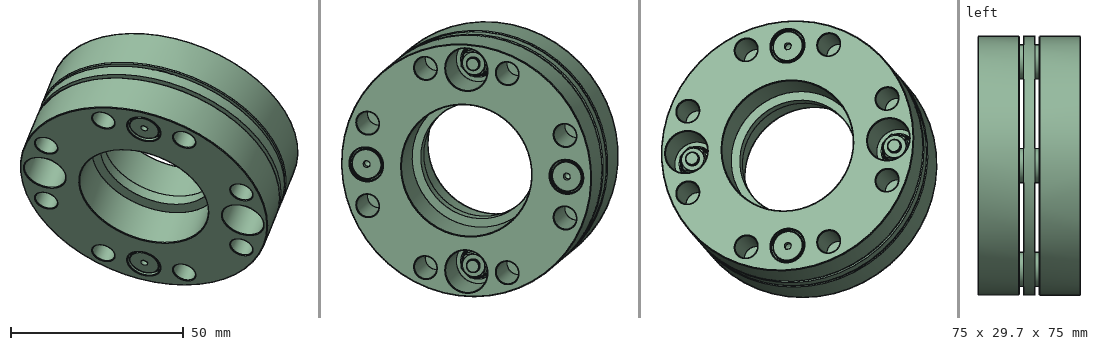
import cadquery as cq
import math


flange_diameter = 75.0
flange_thickness = 12.0
flange_bore = 39.0
disc_diameter = 74.9
disc_bore = 34.5
overall_width = 29.7
gap = 1.2
disc_thickness = overall_width - 2 * flange_thickness - 2 * gap
outer_edge_chamfer = 0.2
inner_edge_chamfer = 0.3

stud_radius = 30.0
clearance_hole = 12.5
spacer_diameter = 10.0

head_diameter = 9.0
head_recess = 0.4
head_chamfer = 0.2
head_seat_depth = 1.2
centre_hole_diameter = 2.0
centre_hole_depth = 1.5
drill_point_angle = 118.0

washer_diameter = 9.0
washer_thickness = 0.8
washer_chamfer = 0.2
nut_flats = 7.0
nut_face_diameter = 6.7
nut_bevel_angle = 30.0
nut_height = 3.2
nut_turn = 15.0
thread_diameter = 4.0
thread_overhang = 1.0
thread_chamfer = 0.2

hole_count = 8
hole_diameter = 6.7
hole_circle_radius = 32.0
hole_chamfer = 0.2

outer_face = -overall_width / 2
inner_face = outer_face + flange_thickness
disc_face = -disc_thickness / 2


def cylinder(diameter, y_start, y_end, x=0.0, z=0.0):
    """Cylinder along Y between two stations."""
    base = cq.Workplane("XZ", origin=(x, y_start, z)).circle(diameter / 2)
    return base.extrude(y_start - y_end)


def cone(diameter, tip_diameter, y_start, y_end, x=0.0, z=0.0):
    """Cone along Y, `diameter` wide at y_start and `tip_diameter` wide at y_end."""
    height = y_end - y_start
    solid = cq.Solid.makeCone(
        diameter / 2, tip_diameter / 2, height, cq.Vector(x, y_start, z), cq.Vector(0, 1, 0)
    )
    return cq.Workplane(obj=solid)


def pin(diameter, chamfer, y_start, y_end, x=0.0, z=0.0):
    """Cylinder between two stations with a chamfer at its front end."""
    return cylinder(diameter, y_start, y_end, x, z).faces("<Y").edges().chamfer(chamfer)


def hole_cutter(diameter, y_bottom, x=0.0, z=0.0):
    """Cutter from the outer face of the front flange, with a chamfered mouth."""
    mouth_diameter = diameter + 2 * hole_chamfer
    mouth = cone(mouth_diameter, diameter, outer_face, outer_face + hole_chamfer, x, z)
    return cylinder(diameter, outer_face, y_bottom, x, z).union(mouth)


def flange():
    """Front flange with its bore, its ring of plain holes and the two nut clearance holes."""
    body = pin(flange_diameter, outer_edge_chamfer, outer_face, inner_face)
    body = body.faces(">Y").edges().chamfer(inner_edge_chamfer)
    body = body.cut(hole_cutter(flange_bore, inner_face))
    for index in range(hole_count):
        angle = math.radians((index + 0.5) * 360 / hole_count)
        x = hole_circle_radius * math.cos(angle)
        z = hole_circle_radius * math.sin(angle)
        body = body.cut(hole_cutter(hole_diameter, inner_face, x, z))
    for x in (-stud_radius, stud_radius):
        body = body.cut(hole_cutter(clearance_hole, inner_face, x))
    return body


def centre_hole(z):
    """Drilled hole with a conical bottom in the middle of a stud head."""
    top = outer_face + head_recess
    bottom = top + centre_hole_depth
    point_length = centre_hole_diameter / 2 / math.tan(math.radians(drill_point_angle / 2))
    point = cone(centre_hole_diameter, 0, bottom, bottom + point_length, z=z)
    return cylinder(centre_hole_diameter, top, bottom, z=z).union(point)


def stud_head(z):
    """Head standing on the floor of its seat."""
    head_face = outer_face + head_recess
    return pin(head_diameter, head_chamfer, head_face, outer_face + head_seat_depth, z=z)


def hex_nut(x, y_start):
    """Hexagon nut whose outer corners are cut back by a cone."""
    corner_diameter = nut_flats / math.cos(math.pi / 6)
    y_end = y_start - nut_height
    prism = cq.Workplane("XZ").polygon(6, corner_diameter).extrude(nut_height)
    prism = prism.rotate((0, 0, 0), (0, 1, 0), nut_turn).translate((x, y_start, 0))
    corner_drop = (corner_diameter - nut_face_diameter) / 2 * math.tan(math.radians(nut_bevel_angle))
    envelope = cylinder(corner_diameter, y_end + corner_drop, y_start, x)
    envelope = envelope.union(cone(nut_face_diameter, corner_diameter, y_end, y_end + corner_drop, x))
    return prism.intersect(envelope)


def nut_end(x):
    """Spacer, washer, nut and thread stacked outwards from the disc."""
    nut_seat = inner_face - washer_thickness
    thread_end = nut_seat - nut_height - thread_overhang
    stack = cylinder(spacer_diameter, inner_face, disc_face, x)
    stack = stack.union(pin(washer_diameter, washer_chamfer, nut_seat, inner_face, x))
    stack = stack.union(hex_nut(x, nut_seat))
    return stack.union(pin(thread_diameter, thread_chamfer, thread_end, nut_seat, x))


def coupling_half():
    """Front flange with two stud heads fixed in it and two nut ends standing in it."""
    half = flange()
    for z in (-stud_radius, stud_radius):
        half = half.cut(hole_cutter(spacer_diameter, outer_face + head_seat_depth, z=z))
        half = half.union(stud_head(z)).cut(centre_hole(z))
        half = half.union(cylinder(spacer_diameter, inner_face, disc_face, z=z))
    for x in (-stud_radius, stud_radius):
        half = half.union(nut_end(x))
    return half


front_half = coupling_half()
rear_half = front_half.rotate((0, 0, 0), (1, 0, 1), 180)
disc = cylinder(disc_diameter, disc_face, -disc_face)
disc = disc.cut(cylinder(disc_bore, disc_face, -disc_face))
result = disc.union(front_half).union(rear_half)